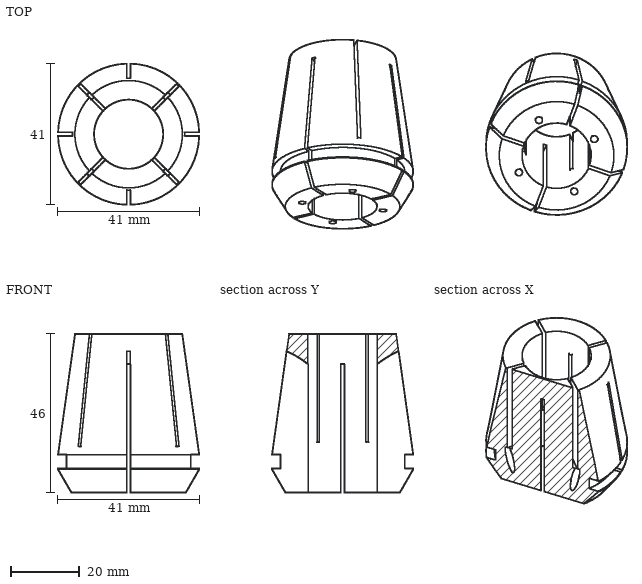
import cadquery as cq
import math

length = 46.0
bore_radius = 10.0
body_radius = 20.5
collar_cone_height = 6.7
collar_cone_angle = 30.0
collar_rim_height = 0.3
groove_width = 4.0
groove_radius = 18.05
taper_angle = 8.0

groove_bottom = collar_cone_height + collar_rim_height
groove_top = groove_bottom + groove_width
collar_base_radius = body_radius - collar_cone_height * math.tan(math.radians(collar_cone_angle))
nose_radius = body_radius - (length - groove_top) * math.tan(math.radians(taper_angle))

slots_per_end = 4
slot_pitch = 360 / slots_per_end
slot_width = 1.0
clearance = 1.0
slot_inner = bore_radius / 2
slot_outer = body_radius + clearance

collar_slot_end_bore = 37.2
collar_slot_end_outer = 41.0
collar_blade_radius = 31.5

nose_slot_floor = 13.25
nose_blade_offset = 17.8
nose_blade_radius = 22.0
nose_blade_height = nose_slot_floor + nose_blade_radius

slant_hole_radius = 1.0
slant_hole_offset = 15.6
slant_hole_angle = 15.0
hole_trim_width = 4 * slant_hole_radius


def make_body():
    outline = [
        (bore_radius, 0),
        (collar_base_radius, 0),
        (body_radius, collar_cone_height),
        (body_radius, groove_bottom),
        (groove_radius, groove_bottom),
        (groove_radius, groove_top),
        (body_radius, groove_top),
        (nose_radius, length),
        (bore_radius, length),
    ]
    return cq.Workplane("XZ").polyline(outline).close().revolve(360, (0, 0, 0), (0, 1, 0))


def radial_slab(bottom, top):
    """Slab on the +X side, as wide as a slot and reaching from inside the bore past the body."""
    return (
        cq.Workplane("XY")
        .workplane(offset=bottom)
        .center((slot_inner + slot_outer) / 2, 0)
        .rect(slot_outer - slot_inner, slot_width)
        .extrude(top - bottom)
    )


def blade(radius, center_offset, center_height, width):
    """Saw blade disc lying in the XZ plane."""
    return (
        cq.Workplane("XZ")
        .center(center_offset, center_height)
        .circle(radius)
        .extrude(width / 2, both=True)
    )


def nose_blade(width):
    return blade(nose_blade_radius, nose_blade_offset, nose_blade_height, width)


def make_collar_slot():
    outer_radius = body_radius - (collar_slot_end_outer - groove_top) * math.tan(math.radians(taper_angle))
    run = outer_radius - bore_radius
    rise = collar_slot_end_outer - collar_slot_end_bore
    chord = math.hypot(run, rise)
    center_distance = math.sqrt(collar_blade_radius**2 - (chord / 2) ** 2)
    center_offset = (bore_radius + outer_radius) / 2 + center_distance * rise / chord
    center_height = (collar_slot_end_bore + collar_slot_end_outer) / 2 - center_distance * run / chord
    disc = blade(collar_blade_radius, center_offset, center_height, slot_width)
    slot_end = radial_slab(center_height, length).intersect(disc)
    return radial_slab(-clearance, center_height).union(slot_end)


def make_nose_slot():
    slot_floor = radial_slab(0, nose_blade_height).intersect(nose_blade(slot_width))
    return radial_slab(nose_blade_height, length + clearance).union(slot_floor)


def make_slant_hole():
    """Hole whose axis leans outward on the way up and ends level with the floor of a nose slot."""
    angle = math.radians(slant_hole_angle)
    up = cq.Vector(math.sin(angle), 0, math.cos(angle))
    depth = nose_slot_floor / math.cos(angle) + clearance
    start = cq.Vector(slant_hole_offset, 0, nose_slot_floor) - up * depth
    drill = cq.Solid.makeCylinder(slant_hole_radius, depth + clearance, start, up)
    return cq.Workplane(drill).cut(nose_blade(hole_trim_width))


def turned(cutter, angle):
    return cutter.rotate((0, 0, 0), (0, 0, 1), angle)


result = make_body()
collar_slot = make_collar_slot()
nose_slot = make_nose_slot()
slant_hole = make_slant_hole()
for index in range(slots_per_end):
    collar_slot_angle = index * slot_pitch
    nose_slot_angle = collar_slot_angle + slot_pitch / 2
    result = result.cut(turned(collar_slot, collar_slot_angle))
    result = result.cut(turned(nose_slot, nose_slot_angle))
    result = result.cut(turned(slant_hole, nose_slot_angle))